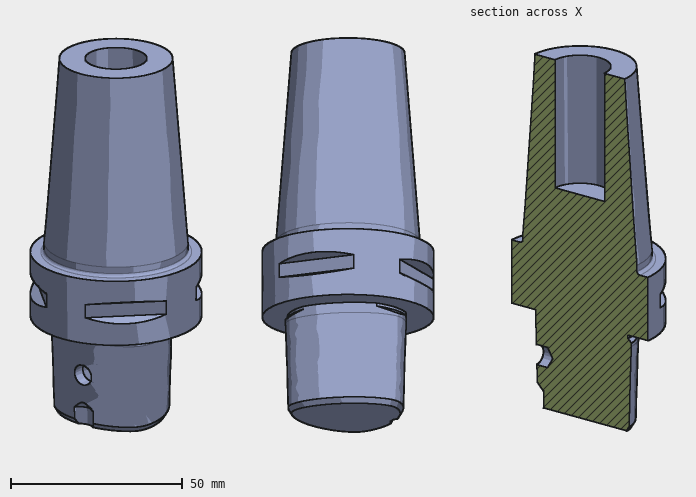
import cadquery as cq
import math

TOTAL_HEIGHT = 110.0
SHANK_LENGTH = 30.0
FLANGE_HEIGHT = 19.9
FLANGE_TOP = SHANK_LENGTH + FLANGE_HEIGHT

FLANGE_RADIUS = 25.02
FLARE_RADIUS = 22.0
COLLAR_RADIUS = 21.0
FLARE_SIZE = FLARE_RADIUS - COLLAR_RADIUS
COLLAR_TOP = FLANGE_TOP + 3.0
NOSE_RADIUS = 16.55
BORE_RADIUS = 9.0
BORE_DEPTH = 40.0

SHANK_TOP_RADIUS = 17.6
SHANK_END_RADIUS = 16.8
LOBE_HEIGHT = 1.3
TAPER_TOP = SHANK_LENGTH - 3.0
END_CHAMFER_HEIGHT = 1.6
END_CHAMFER_INSET = 1.0
PROFILE_POINTS = 36
RELIEF_RADIUS = 17.7
RELIEF_HEIGHT = 0.9
LOBE_RADIUS = SHANK_TOP_RADIUS + LOBE_HEIGHT
RELIEF_OUTER_RADIUS = LOBE_RADIUS + 1.1

SLOT_COUNT = 4
SLOT_Z = 40.0
SLOT_FLAT_DISTANCE = 22.0
SLOT_FLAT_HEIGHT = 4.1
SLOT_MOUTH_HEIGHT = 6.7

FLAT_SIDE_Y = -(SHANK_TOP_RADIUS - LOBE_HEIGHT)
HOLE_Z = 16.2
HOLE_RADIUS = 3.1
HOLE_DEPTH = 4.4
DRILL_TIP_ANGLE = 118
NOTCH_RADIUS = 4.1
NOTCH_AXIS_Y = -17.5
NOTCH_WALL_TOP = 5.3


def lobed_wire(mean_radius, z):
    """Constant-width three-lobed outline with one lobe toward +Y."""
    points = []
    for i in range(PROFILE_POINTS):
        angle = 2 * math.pi * i / PROFILE_POINTS
        lobe_phase = 3 * (angle - math.pi / 2)
        reach = mean_radius + LOBE_HEIGHT * math.cos(lobe_phase)
        slope = -3 * LOBE_HEIGHT * math.sin(lobe_phase)
        x = reach * math.cos(angle) - slope * math.sin(angle)
        y = reach * math.sin(angle) + slope * math.cos(angle)
        points.append(cq.Vector(x, y, z))
    return cq.Wire.assembleEdges([cq.Edge.makeSpline(points, periodic=True)])


def lobed_section(lower_radius, lower_z, upper_radius, upper_z):
    wires = [lobed_wire(lower_radius, lower_z), lobed_wire(upper_radius, upper_z)]
    return cq.Workplane(obj=cq.Solid.makeLoft(wires, True))


def revolved(points):
    """Revolve a closed (radius, height) outline about Z."""
    return cq.Workplane("XZ").polyline(points).close().revolve(360, (0, 0, 0), (0, 1, 0))


def make_shank():
    tip = lobed_section(SHANK_END_RADIUS - END_CHAMFER_INSET, 0, SHANK_END_RADIUS, END_CHAMFER_HEIGHT)
    taper = lobed_section(SHANK_END_RADIUS, END_CHAMFER_HEIGHT, SHANK_TOP_RADIUS, TAPER_TOP)
    neck = lobed_section(SHANK_TOP_RADIUS, TAPER_TOP, SHANK_TOP_RADIUS, SHANK_LENGTH)
    relief_bottom = SHANK_LENGTH - RELIEF_HEIGHT
    relief = revolved([
        (RELIEF_RADIUS, SHANK_LENGTH),
        (RELIEF_RADIUS, relief_bottom),
        (RELIEF_OUTER_RADIUS, relief_bottom - (RELIEF_OUTER_RADIUS - RELIEF_RADIUS)),
        (RELIEF_OUTER_RADIUS, SHANK_LENGTH),
    ])
    return tip.union(taper).union(neck).cut(relief)


def make_flange_and_nose():
    body = (
        cq.Workplane("XZ")
        .moveTo(0, SHANK_LENGTH)
        .lineTo(FLANGE_RADIUS, SHANK_LENGTH)
        .lineTo(FLANGE_RADIUS, FLANGE_TOP)
        .lineTo(FLARE_RADIUS, FLANGE_TOP)
        .radiusArc((COLLAR_RADIUS, FLANGE_TOP + FLARE_SIZE), FLARE_SIZE)
        .lineTo(COLLAR_RADIUS, COLLAR_TOP)
        .lineTo(NOSE_RADIUS, TOTAL_HEIGHT)
        .lineTo(0, TOTAL_HEIGHT)
        .close()
        .revolve(360, (0, 0, 0), (0, 1, 0))
    )
    bore = cq.Workplane(origin=(0, 0, TOTAL_HEIGHT - BORE_DEPTH)).circle(BORE_RADIUS).extrude(BORE_DEPTH)
    return body.cut(bore)


def make_gripper_slot(angle):
    """Straight slot with sloped sides, its flat floor facing the given angle."""
    half_flat = SLOT_FLAT_HEIGHT / 2
    half_mouth = SLOT_MOUTH_HEIGHT / 2
    slot = (
        cq.Workplane("XZ", origin=(0, 0, SLOT_Z))
        .polyline([
            (SLOT_FLAT_DISTANCE, -half_flat),
            (FLANGE_RADIUS, -half_mouth),
            (FLANGE_RADIUS, half_mouth),
            (SLOT_FLAT_DISTANCE, half_flat),
        ])
        .close()
        .extrude(FLANGE_RADIUS, both=True)
    )
    return slot.rotate((0, 0, 0), (0, 0, 1), angle)


def make_side_hole():
    tip_length = HOLE_RADIUS / math.tan(math.radians(DRILL_TIP_ANGLE / 2))
    start_y = -LOBE_RADIUS
    floor_y = FLAT_SIDE_Y + HOLE_DEPTH
    inward = cq.Vector(0, 1, 0)
    barrel = cq.Solid.makeCylinder(HOLE_RADIUS, floor_y - start_y, cq.Vector(0, start_y, HOLE_Z), inward)
    tip = cq.Solid.makeCone(HOLE_RADIUS, 0, tip_length, cq.Vector(0, floor_y, HOLE_Z), inward)
    return cq.Workplane(obj=barrel).union(cq.Workplane(obj=tip))


def make_key_notch():
    """Upright round notch with a 45 degree conical roof, open at the bottom."""
    notch = revolved([
        (0, 0),
        (NOTCH_RADIUS, 0),
        (NOTCH_RADIUS, NOTCH_WALL_TOP),
        (0, NOTCH_WALL_TOP + NOTCH_RADIUS),
    ])
    return notch.translate((0, NOTCH_AXIS_Y, 0))


result = make_shank().union(make_flange_and_nose())
for i in range(SLOT_COUNT):
    result = result.cut(make_gripper_slot((i + 0.5) * 360 / SLOT_COUNT))
result = result.cut(make_side_hole()).cut(make_key_notch())